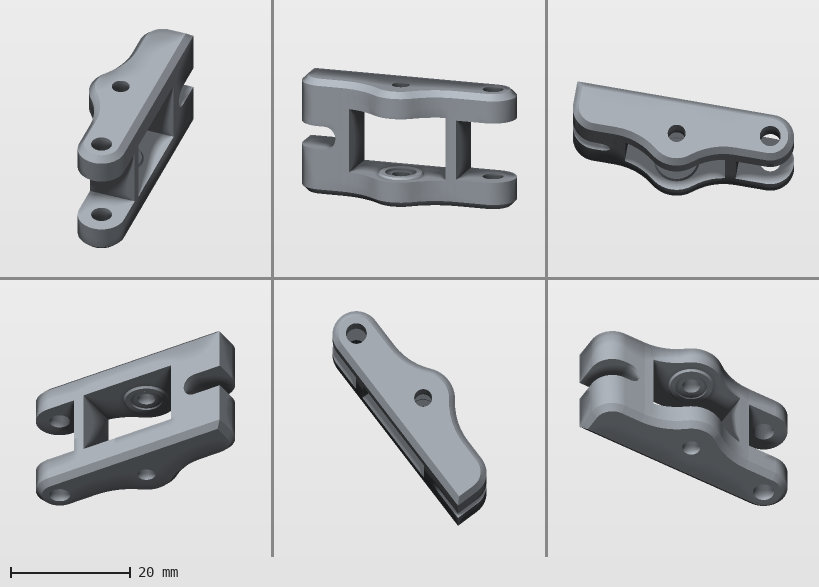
import cadquery as cq
import math

height = 20.0
half_width = 4.0
hinge_to_far_end = 33.5
edge_chamfer = 1.0
hinge_hole_diameter = 3.5

pivot_x = -2.3
pivot_y = 15.5
pivot_hole_diameter = 3.0
bulge_radius = 5.34
blend_radius = 10.7

window_start_y = 7.0
window_end_y = 24.0
window_height = 11.0
fork_gap_height = 10.3
fork_gap_end_y = 5.2
slot_height = 4.0
slot_depth = 7.0

boss_base_diameter = 7.7
boss_face_diameter = 7.1
boss_recess_diameter = 5.3
boss_face_gap = fork_gap_height

far_end_y = hinge_to_far_end
blend_center_x = -half_width - blend_radius
blend_rise = math.sqrt((bulge_radius + blend_radius) ** 2 - (pivot_x - blend_center_x) ** 2)
bulge_left_x = pivot_x - bulge_radius
boss_height = (window_height - boss_face_gap) / 2
cut_length = 4 * (bulge_radius + half_width)


def blend_points(side):
    """Bulge end, middle and straight-side end of the blend above (+1) or below (-1) the pivot."""
    center_y = pivot_y + side * blend_rise
    bulge_share = bulge_radius / (bulge_radius + blend_radius)
    bulge_end = (
        pivot_x + bulge_share * (blend_center_x - pivot_x),
        pivot_y + side * bulge_share * blend_rise,
    )
    half_angle = math.atan2(blend_rise, pivot_x - blend_center_x) / 2
    middle = (
        blend_center_x + blend_radius * math.cos(half_angle),
        center_y - side * blend_radius * math.sin(half_angle),
    )
    side_end = (-half_width, center_y)
    return bulge_end, middle, side_end


def make_body():
    """Bar with a rounded hinge end, one rounded far corner and the pivot bulge on its -X side."""
    upper_bulge, upper_middle, upper_side = blend_points(1)
    lower_bulge, lower_middle, lower_side = blend_points(-1)
    corner_y = far_end_y - half_width
    arc_offset = half_width * math.sqrt(0.5)
    outline = (
        cq.Workplane("XY")
        .workplane(offset=-height / 2)
        .moveTo(half_width, 0)
        .lineTo(half_width, far_end_y)
        .lineTo(0, far_end_y)
        .threePointArc((-arc_offset, corner_y + arc_offset), (-half_width, corner_y))
        .lineTo(*upper_side)
        .threePointArc(upper_middle, upper_bulge)
        .threePointArc((bulge_left_x, pivot_y), lower_bulge)
        .threePointArc(lower_middle, lower_side)
        .lineTo(-half_width, 0)
        .threePointArc((0, -half_width), (half_width, 0))
        .close()
    )
    return outline.extrude(height).faces("<Z or >Z").chamfer(edge_chamfer)


def cross_cut(start_y, end_y, cut_height):
    """Box passing through the bar in X, centred on z = 0."""
    center_y = (start_y + end_y) / 2
    return cq.Workplane("XY").box(cut_length, end_y - start_y, cut_height).translate((0, center_y, 0))


def make_end_slot():
    """Round-bottomed slot running in from the far end."""
    radius = slot_height / 2
    round_y = far_end_y - slot_depth + radius
    round_bottom = (
        cq.Workplane("YZ").center(round_y, 0).circle(radius).extrude(cut_length / 2, both=True)
    )
    return round_bottom.union(cross_cut(round_y, far_end_y + radius, slot_height))


def make_boss(side):
    """Conical ring on the upper (+1) or lower (-1) wall of the window."""
    base_z = window_height / 2
    face_z = base_z - boss_height
    profile = [
        (boss_recess_diameter / 2, side * base_z),
        (boss_base_diameter / 2, side * base_z),
        (boss_face_diameter / 2, side * face_z),
        (boss_recess_diameter / 2, side * face_z),
    ]
    ring = cq.Workplane("XZ").polyline(profile).close().revolve(360, (0, 0, 0), (0, 1, 0))
    return ring.translate((pivot_x, pivot_y, 0))


def through_hole(x, y, diameter):
    """Vertical cylinder through the full height."""
    return cq.Workplane("XY").center(x, y).circle(diameter / 2).extrude(height, both=True)


result = make_body()
result = result.cut(cross_cut(window_start_y, window_end_y, window_height))
result = result.cut(cross_cut(-2 * half_width, fork_gap_end_y, fork_gap_height))
result = result.cut(make_end_slot())
for wall_side in (1, -1):
    result = result.union(make_boss(wall_side))
result = result.cut(through_hole(0, 0, hinge_hole_diameter))
result = result.cut(through_hole(pivot_x, pivot_y, pivot_hole_diameter))